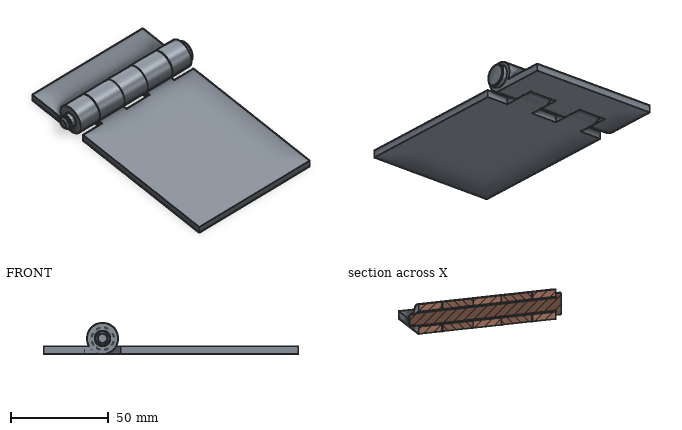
import cadquery as cq

LENGTH = 130.0
WIDTH = 74.9
THICKNESS = 4.0
BARREL_DIAMETER = 16.0
BARREL_RADIUS = BARREL_DIAMETER / 2
BARREL_X = 30.0
BORE_RADIUS = 4.0

END_KNUCKLE = 12.7
MIDDLE_KNUCKLE = 15.7
END_GAP = 0.3
NOTCH_CLEARANCE = 1.4

PIN_RADIUS = 3.5
TIP_LENGTH = 5.1
TIP_CHAMFER = 1.2
GROOVE_WIDTH = 0.8
GROOVE_DEPTH = 0.5
GROOVE_START = 2.2
HEAD_RADIUS = 6.0
HEAD_HEIGHT = 3.0
HEAD_CHAMFER = 0.5

NOTCH_WIDTH = (WIDTH - 2 * END_KNUCKLE - MIDDLE_KNUCKLE) / 2
FRONT_NOTCH = (END_KNUCKLE, END_KNUCKLE + NOTCH_WIDTH)
BACK_NOTCH = (WIDTH - END_KNUCKLE - NOTCH_WIDTH, WIDTH - END_KNUCKLE)
SMALL_KNUCKLES = [(0, FRONT_NOTCH[0]), (FRONT_NOTCH[1], BACK_NOTCH[0]), (BACK_NOTCH[1], WIDTH)]
LARGE_KNUCKLES = [
    (FRONT_NOTCH[0] + END_GAP, FRONT_NOTCH[1]),
    (BACK_NOTCH[0], BACK_NOTCH[1] - END_GAP),
]


def plate(x_range, y_range):
    """Leaf-thick plate resting on Z = 0."""
    x_size = x_range[1] - x_range[0]
    y_size = y_range[1] - y_range[0]
    slab = cq.Workplane("XY").box(x_size, y_size, THICKNESS, centered=False)
    return slab.translate((x_range[0], y_range[0], 0))


def axial_cylinder(radius, y_range):
    """Cylinder along the hinge axis."""
    return (
        cq.Workplane("XZ", origin=(BARREL_X, y_range[0], BARREL_RADIUS))
        .circle(radius)
        .extrude(y_range[0] - y_range[1])
    )


def make_leaf(free_edge, side, knuckles):
    """Plate with tangent knuckles; side is the X direction from the axis to the plate."""
    notch_edge = BARREL_X + side * (BARREL_RADIUS + NOTCH_CLEARANCE)
    leaf = plate(sorted((free_edge, notch_edge)), (0, WIDTH))
    for y_range in knuckles:
        leaf = leaf.union(plate(sorted((notch_edge, BARREL_X)), y_range))
        leaf = leaf.union(axial_cylinder(BARREL_RADIUS, y_range))
    return leaf.cut(axial_cylinder(BORE_RADIUS, (0, WIDTH)))


def make_pin():
    """Headed pin with a chamfered tip and a retaining groove."""
    shank = axial_cylinder(PIN_RADIUS, (-TIP_LENGTH, WIDTH)).faces("<Y").chamfer(TIP_CHAMFER)
    head = axial_cylinder(HEAD_RADIUS, (WIDTH, WIDTH + HEAD_HEIGHT)).faces(">Y").chamfer(HEAD_CHAMFER)
    groove_range = (-GROOVE_START - GROOVE_WIDTH, -GROOVE_START)
    groove = axial_cylinder(PIN_RADIUS, groove_range).cut(
        axial_cylinder(PIN_RADIUS - GROOVE_DEPTH, groove_range)
    )
    return shank.union(head).cut(groove)


small_leaf = make_leaf(0, -1, SMALL_KNUCKLES)
large_leaf = make_leaf(LENGTH, 1, LARGE_KNUCKLES)
pin = make_pin()

result = cq.Compound.makeCompound([small_leaf.val(), large_leaf.val(), pin.val()])